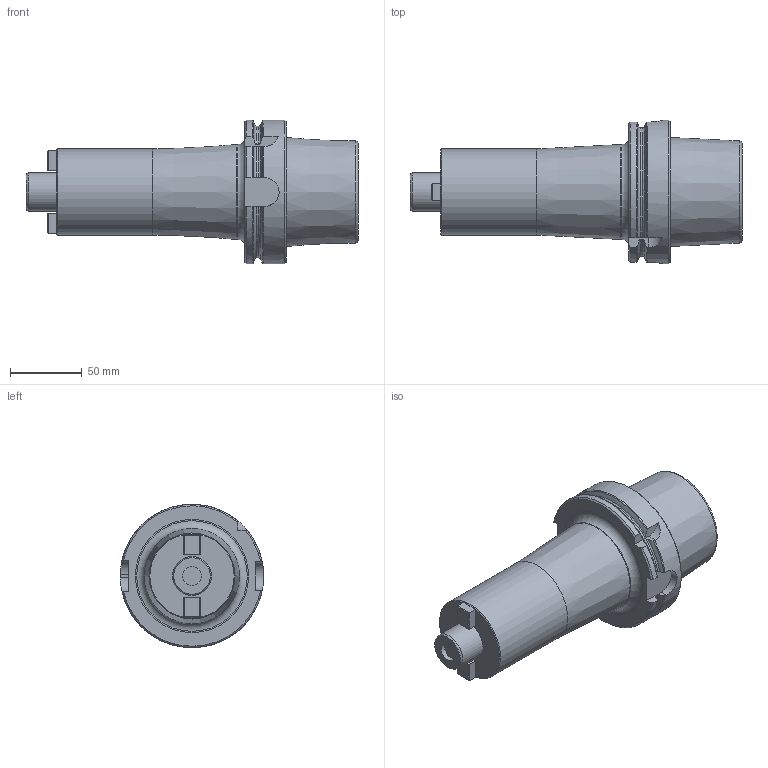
import cadquery as cq
import math


SHANK_END_X = 50.0
FLANGE_WIDTH = 29.0
FLANGE_FRONT_X = -FLANGE_WIDTH
BODY_LENGTH = 160.0
BODY_FRONT_X = -BODY_LENGTH
PILOT_LENGTH = 21.5
PILOT_FRONT_X = BODY_FRONT_X - PILOT_LENGTH

PILOT_DIA = 27.0
PILOT_CHAMFER_LENGTH = 1.5
PILOT_CHAMFER_DEPTH = 0.8
BORE_DIA = 13.0
BORE_DEPTH = 3.5

BODY_DIA = 60.0
BODY_CHAMFER = 0.6
COLLAR_DIA = 66.2
CONE_LENGTH = 58.5
COLLAR_WIDTH = 0.6
NECK_FILLET = 5.5
RELIEF_DIA = 79.0
RELIEF_DEPTH = 0.5

FLANGE_DIA = 100.0
FLANGE_CHAMFER = 1.0
GROOVE_X = -19.9
GROOVE_ROOT_DIA = 92.0
GROOVE_FLOOR_WIDTH = 3.2
GROOVE_WALL_ANGLE = math.radians(25.0)
GROOVE_ROOT_FILLET = 1.2
GROOVE_EDGE_FILLET = 0.8
RADIUS_TOLERANCE = 0.01

GAUGE_DIA = 75.0
GAUGE_X = 10.0
TAPER_RATIO = 9.98
SHANK_FILLET = 2.0

KEY_WIDTH = 12.0
KEY_LENGTH = 6.5
KEY_INNER_Z = 15.0
KEY_OUTER_Z = 29.0
KEY_CHAMFER = 0.5

SLOT_ARC_X = -15.0
SLOT_END_RADIUS = 10.0
SLOT_FLOOR_Y = 44.0
NARROW_SLOT_WIDTH = 20.0
WIDE_SLOT_WIDTH = 22.0
NOTCH_Y = -31.8
NOTCH_Z = 31.8

CUT_MARGIN = 5.0
CUT_START_X = FLANGE_FRONT_X - CUT_MARGIN
CUT_OUTER = FLANGE_DIA / 2 + CUT_MARGIN


def revolve_about_x(profile):
    return profile.close().revolve(360, (0, 0, 0), (1, 0, 0))


def make_pilot():
    pilot_r = PILOT_DIA / 2
    bore_r = BORE_DIA / 2
    bore_floor_x = PILOT_FRONT_X + BORE_DEPTH
    profile = (
        cq.Workplane("XY")
        .moveTo(bore_floor_x, 0)
        .lineTo(bore_floor_x, bore_r)
        .lineTo(PILOT_FRONT_X, bore_r)
        .lineTo(PILOT_FRONT_X, pilot_r - PILOT_CHAMFER_DEPTH)
        .lineTo(PILOT_FRONT_X + PILOT_CHAMFER_LENGTH, pilot_r)
        .lineTo(BODY_FRONT_X, pilot_r)
        .lineTo(BODY_FRONT_X, 0)
    )
    return revolve_about_x(profile)


def make_body():
    body_r = BODY_DIA / 2
    collar_r = COLLAR_DIA / 2
    relief_x = FLANGE_FRONT_X + RELIEF_DEPTH

    fillet_start_x = relief_x - NECK_FILLET
    fillet_end_r = collar_r + NECK_FILLET
    fillet_mid = (
        fillet_start_x + NECK_FILLET * math.sin(math.pi / 4),
        fillet_end_r - NECK_FILLET * math.cos(math.pi / 4),
    )
    cone_end_x = fillet_start_x - COLLAR_WIDTH
    cone_start_x = cone_end_x - CONE_LENGTH

    profile = (
        cq.Workplane("XY")
        .moveTo(BODY_FRONT_X, 0)
        .lineTo(BODY_FRONT_X, body_r - BODY_CHAMFER)
        .lineTo(BODY_FRONT_X + BODY_CHAMFER, body_r)
        .lineTo(cone_start_x, body_r)
        .lineTo(cone_end_x, collar_r)
        .lineTo(fillet_start_x, collar_r)
        .threePointArc(fillet_mid, (relief_x, fillet_end_r))
        .lineTo(GROOVE_X, fillet_end_r)
        .lineTo(GROOVE_X, 0)
    )
    return revolve_about_x(profile)


def make_groove_ring():
    floor_half = GROOVE_FLOOR_WIDTH / 2
    root_r = GROOVE_ROOT_DIA / 2
    rim_r = FLANGE_DIA / 2
    rim_half = floor_half + (rim_r - root_r) * math.tan(GROOVE_WALL_ANGLE)
    profile = (
        cq.Workplane("XY")
        .moveTo(GROOVE_X - floor_half, root_r)
        .lineTo(GROOVE_X + floor_half, root_r)
        .lineTo(GROOVE_X + rim_half, rim_r)
        .lineTo(GROOVE_X + rim_half, CUT_OUTER)
        .lineTo(GROOVE_X - rim_half, CUT_OUTER)
        .lineTo(GROOVE_X - rim_half, rim_r)
    )
    return revolve_about_x(profile)


def groove_edges(flange, diameter):
    """Circles of the given diameter that lie at the groove, not at the flange ends."""
    reach = FLANGE_WIDTH / 4
    box = cq.selectors.BoxSelector(
        (GROOVE_X - reach, -CUT_OUTER, -CUT_OUTER),
        (GROOVE_X + reach, CUT_OUTER, CUT_OUTER),
    )
    circles = flange.edges("%CIRCLE").edges(box)
    return circles.filter(lambda edge: abs(edge.radius() - diameter / 2) < RADIUS_TOLERANCE)


def make_flange():
    flange = cq.Workplane("YZ").circle(FLANGE_DIA / 2).extrude(-FLANGE_WIDTH)
    flange = flange.faces("<X or >X").chamfer(FLANGE_CHAMFER)
    flange = flange.cut(make_groove_ring())
    flange = groove_edges(flange, GROOVE_ROOT_DIA).fillet(GROOVE_ROOT_FILLET)
    flange = groove_edges(flange, FLANGE_DIA).fillet(GROOVE_EDGE_FILLET)
    relief = (
        cq.Workplane("YZ", origin=(FLANGE_FRONT_X, 0, 0)).circle(RELIEF_DIA / 2).extrude(RELIEF_DEPTH)
    )
    return flange.cut(relief)


def make_shank():
    taper_slope = 1 / (2 * TAPER_RATIO)
    face_r = GAUGE_DIA / 2 + GAUGE_X * taper_slope
    end_r = face_r - SHANK_END_X * taper_slope
    profile = (
        cq.Workplane("XY")
        .lineTo(0, face_r)
        .lineTo(SHANK_END_X, end_r)
        .lineTo(SHANK_END_X, 0)
    )
    return revolve_about_x(profile).faces(">X").edges().fillet(SHANK_FILLET)


def make_key(side):
    """One drive key; side is +1 for the +Z key and -1 for the -Z key."""
    height = KEY_OUTER_Z - KEY_INNER_Z
    center_x = BODY_FRONT_X - KEY_LENGTH / 2
    center_z = side * (KEY_INNER_Z + height / 2)
    key = cq.Workplane("XY").box(KEY_LENGTH, KEY_WIDTH, height)
    inner_edge = "<Z" if side > 0 else ">Z"
    key = key.faces("<X").edges(f"not {inner_edge}").chamfer(KEY_CHAMFER)
    return key.translate((center_x, 0, center_z))


def make_keyway(width, side):
    """Flat-floored keyway with a rounded end; side is the sign of Y it faces."""
    end_x = SLOT_ARC_X + SLOT_END_RADIUS
    arc_center_z = width / 2 - SLOT_END_RADIUS
    outline = (
        cq.Workplane("XZ", origin=(0, side * SLOT_FLOOR_Y, 0))
        .moveTo(CUT_START_X, -width / 2)
        .lineTo(SLOT_ARC_X, -width / 2)
        .radiusArc((end_x, -arc_center_z), -SLOT_END_RADIUS)
    )
    if arc_center_z > 0:
        outline = outline.lineTo(end_x, arc_center_z)
    outline = (
        outline.radiusArc((SLOT_ARC_X, width / 2), -SLOT_END_RADIUS)
        .lineTo(CUT_START_X, width / 2)
        .close()
    )
    return outline.extrude(-side * (CUT_OUTER - SLOT_FLOOR_Y))


def make_notch():
    """Corner notch whose floor sweeps up to the rim in an arc."""
    outline = (
        cq.Workplane("XZ", origin=(0, NOTCH_Y, 0))
        .moveTo(CUT_START_X, NOTCH_Z)
        .lineTo(SLOT_ARC_X, NOTCH_Z)
        .radiusArc((SLOT_ARC_X + SLOT_END_RADIUS, NOTCH_Z + SLOT_END_RADIUS), -SLOT_END_RADIUS)
        .lineTo(SLOT_ARC_X + SLOT_END_RADIUS, CUT_OUTER)
        .lineTo(CUT_START_X, CUT_OUTER)
        .close()
    )
    return outline.extrude(CUT_OUTER + NOTCH_Y)


result = make_body().union(make_flange()).union(make_shank()).union(make_pilot())
for key_side in (1, -1):
    result = result.union(make_key(key_side))
result = result.cut(make_keyway(NARROW_SLOT_WIDTH, -1))
result = result.cut(make_keyway(WIDE_SLOT_WIDTH, 1))
result = result.cut(make_notch())